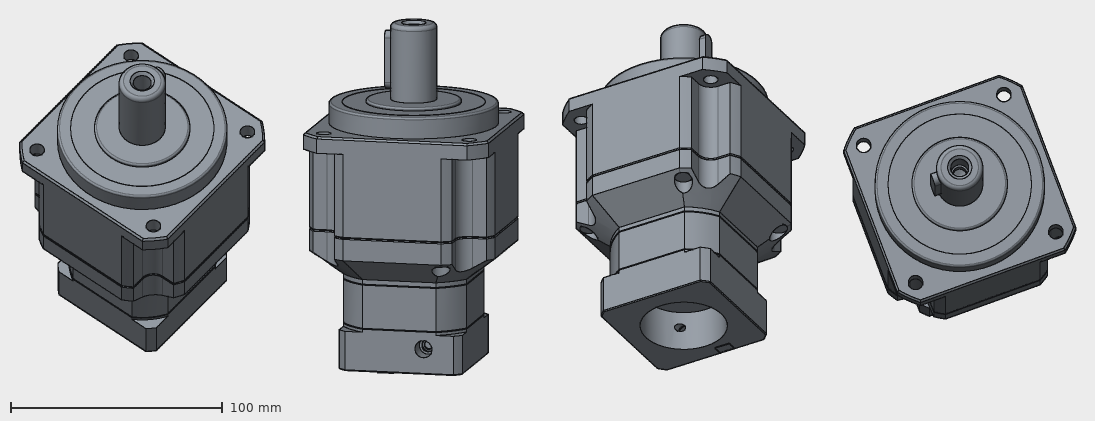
import cadquery as cq
import math


shaft_top = 163.5
cover_top = 126.9
pilot_top = 125.5
flange_top = 115.5
flange_bottom = 107.6
housing_joint = 67.2
taper_top = 56.4
taper_bottom = 44.8
input_joint = 42.3
adapter_joint = 21.1
adapter_base_top = 19.5
adapter_bottom = 0.5

housing_width = 90.0
flange_corner_radius = 57.9
housing_corner_radius = 50.8
neck_width = 59.8
neck_corner_radius = 34.8
adapter_corner_radius = 39.9

shaft_radius = 11.0
shaft_edge_fillet = 2.1
cover_radius = 22.5
cover_seat_radius = 33.8
cover_seat_depth = 0.2
pilot_radius = 40.0
pilot_and_cover_fillet = 1.0
flange_edge_chamfer = 1.0

countersink_radius = 5.7
thread_radius = 4.3
drill_radius = 3.3
countersink_depth = 1.5
thread_depth = 14.7
drill_depth = 19.6
drill_point_angle = 118.0

mount_hole_radius = 3.5
mount_hole_offset = 35.3
scoop_radius = 6.7
scoop_edge = mount_hole_offset - scoop_radius
scoop_size = 2 * housing_width

taper_hole_radius = 4.3
taper_hole_circle_radius = 44.8
taper_hole_first_angle = 30.0
taper_hole_top = 55.1

housing_joint_chamfer = 0.5
input_joint_chamfer = 0.25
adapter_bottom_chamfer = 0.5

key_width = 6.2
key_height = 6.2
key_outer_y = 13.5
key_top = 159.2
key_bottom = 131.6

motor_bore_radius = 20.6
clamp_hole_y = -11.8
clamp_hole_z = 12.6
clamp_access_radius = 4.1
clamp_access_depth = 9.0
clamp_seat_radius = 3.0
clamp_seat_depth = 10.6
clamp_hole_radius = 2.1
pad_size_x = 4.7
pad_size_y = 7.8
pad_center_x = -26.2
pad_center_y = 7.0

quarter_turns = [0, 90, 180, 270]


def trimmed_square_prism(width, corner_radius, bottom, top):
    """Square prism with its four corners rounded by one circle about the Z axis."""
    height = top - bottom
    square = cq.Workplane("XY", origin=(0, 0, bottom)).rect(width, width).extrude(height)
    return square.intersect(disc(corner_radius, bottom, top))


def disc(radius, bottom, top):
    """Cylinder about the Z axis."""
    return cq.Workplane("XY", origin=(0, 0, bottom)).circle(radius).extrude(top - bottom)


def trimmed_square_wire(plane, width, corner_radius):
    """Outline of a square with its four corners rounded by one circle."""
    half = width / 2
    flat = math.sqrt(corner_radius**2 - half**2)
    diagonal = corner_radius / math.sqrt(2)
    return (
        plane.moveTo(-flat, -half)
        .lineTo(flat, -half)
        .threePointArc((diagonal, -diagonal), (half, -flat))
        .lineTo(half, flat)
        .threePointArc((diagonal, diagonal), (flat, half))
        .lineTo(-flat, half)
        .threePointArc((-diagonal, diagonal), (-half, flat))
        .lineTo(-half, -flat)
        .threePointArc((-diagonal, -diagonal), (-flat, -half))
        .close()
    )


def taper():
    """Ruled transition from the housing section down to the neck section."""
    plane = cq.Workplane("XY", origin=(0, 0, taper_bottom))
    lower = trimmed_square_wire(plane, neck_width, neck_corner_radius)
    upper_plane = lower.workplane(offset=taper_top - taper_bottom)
    return trimmed_square_wire(upper_plane, housing_width, housing_corner_radius).loft(ruled=True)


def corner_scoops():
    """Four vertical corner cutters below the flange, each with one rounded inner edge."""
    center = scoop_edge + scoop_size / 2
    scoop = (
        cq.Workplane("XY")
        .center(center, center)
        .rect(scoop_size, scoop_size)
        .extrude(flange_bottom)
        .edges("|Z and <X and <Y")
        .fillet(scoop_radius)
    )
    cutters = cq.Workplane("XY")
    for angle in quarter_turns:
        cutters = cutters.add(scoop.rotate((0, 0, 0), (0, 0, 1), angle))
    return cutters.combine()


def upper_housing():
    """Ring gear housing under the flange, its lower edge chamfered at the joint."""
    block = trimmed_square_prism(
        housing_width, housing_corner_radius, housing_joint, flange_bottom
    ).cut(corner_scoops())
    return block.faces("<Z").chamfer(housing_joint_chamfer)


def lower_housing():
    """Housing below the joint, its upper edge chamfered, tapering down to the neck."""
    block = trimmed_square_prism(
        housing_width, housing_corner_radius, taper_top, housing_joint
    ).cut(corner_scoops())
    block = block.faces(">Z").chamfer(housing_joint_chamfer)
    tapered = taper().cut(corner_scoops()).cut(taper_holes())
    return block.union(tapered)


def taper_holes():
    """Four vertical blind holes opening through the taper."""
    return (
        cq.Workplane("XY", origin=(0, 0, taper_bottom))
        .polarArray(taper_hole_circle_radius, taper_hole_first_angle, 360, 4)
        .circle(taper_hole_radius)
        .extrude(taper_hole_top - taper_bottom)
    )


def neck():
    """Input stage: two blocks whose meeting edges are chamfered, and a chamfered lower end."""
    collar = trimmed_square_prism(neck_width, neck_corner_radius, input_joint, taper_bottom)
    stage = trimmed_square_prism(neck_width, neck_corner_radius, adapter_joint, input_joint)
    collar = collar.faces("<Z").chamfer(input_joint_chamfer)
    stage = stage.faces("<Z or >Z").chamfer(input_joint_chamfer)
    return collar.union(stage)


def mounting_flange():
    """Square flange with four through holes."""
    plate = trimmed_square_prism(housing_width, flange_corner_radius, flange_bottom, flange_top)
    plate = plate.faces(">Z").chamfer(flange_edge_chamfer)
    hole_spacing = 2 * mount_hole_offset
    holes = (
        cq.Workplane("XY", origin=(0, 0, flange_bottom))
        .rect(hole_spacing, hole_spacing, forConstruction=True)
        .vertices()
        .circle(mount_hole_radius)
        .extrude(flange_top - flange_bottom)
    )
    return plate.cut(holes)


def output_side():
    """Centring pilot with a shallow cover recess, bearing cover and output shaft, stacked on the flange."""
    pilot = disc(pilot_radius, flange_top, pilot_top).faces(">Z").edges().fillet(pilot_and_cover_fillet)
    seat_bottom = pilot_top - cover_seat_depth
    cover_seat = disc(cover_seat_radius, seat_bottom, pilot_top)
    cover = disc(cover_radius, seat_bottom, cover_top).faces(">Z").edges().fillet(pilot_and_cover_fillet)
    shaft = disc(shaft_radius, cover_top, shaft_top).faces(">Z").edges().fillet(shaft_edge_fillet)
    return pilot.cut(cover_seat).union(cover).union(shaft)


def shaft_center_hole():
    """Countersunk threaded hole with a conical drill point, as a cutter."""
    point_depth = drill_radius / math.tan(math.radians(drill_point_angle / 2))
    profile = (
        cq.Workplane("XZ")
        .moveTo(0, shaft_top)
        .lineTo(countersink_radius, shaft_top)
        .lineTo(thread_radius, shaft_top - countersink_depth)
        .lineTo(thread_radius, shaft_top - thread_depth)
        .lineTo(drill_radius, shaft_top - thread_depth)
        .lineTo(drill_radius, shaft_top - drill_depth)
        .lineTo(0, shaft_top - drill_depth - point_depth)
        .close()
    )
    return profile.revolve(360, (0, 0, 0), (0, 1, 0))


def make_key():
    """Parallel key with round ends, seated in the +Y side of the shaft."""
    return (
        cq.Workplane("XZ", origin=(0, key_outer_y, (key_top + key_bottom) / 2))
        .slot2D(key_top - key_bottom, key_width, 90)
        .extrude(key_height)
    )


def make_gearbox():
    """Gearbox housing with its output shaft, from the shaft end to the adapter joint."""
    body = output_side().union(mounting_flange()).union(upper_housing())
    body = body.union(lower_housing()).union(neck())
    return body.cut(shaft_center_hole()).cut(make_key())


def clamp_screw_hole():
    """Stepped radial hole from the -X side into the motor bore, as a cutter."""
    outer_x = -neck_width / 2
    entry = cq.Workplane("YZ", origin=(outer_x, clamp_hole_y, clamp_hole_z))
    access = entry.circle(clamp_access_radius).extrude(clamp_access_depth)
    seat = entry.circle(clamp_seat_radius).extrude(clamp_seat_depth)
    through = entry.circle(clamp_hole_radius).extrude(-outer_x)
    return access.union(seat).union(through)


def make_motor_adapter():
    """Square motor adapter with a low round-cornered boss, a motor bore and a clamp screw hole."""
    base = trimmed_square_prism(neck_width, adapter_corner_radius, adapter_bottom, adapter_base_top)
    base = base.faces("<Z").chamfer(adapter_bottom_chamfer)
    boss = trimmed_square_prism(neck_width, neck_corner_radius, adapter_base_top, adapter_joint)
    boss = boss.faces(">Z").chamfer(input_joint_chamfer)
    pad = (
        cq.Workplane("XY")
        .center(pad_center_x, pad_center_y)
        .rect(pad_size_x, pad_size_y)
        .extrude(adapter_bottom)
    )
    bore = disc(motor_bore_radius, adapter_bottom, adapter_joint)
    return base.union(boss).union(pad).cut(bore).cut(clamp_screw_hole())


gearbox = make_gearbox()
key = make_key()
motor_adapter = make_motor_adapter()

result = cq.Compound.makeCompound([gearbox.val(), key.val(), motor_adapter.val()])